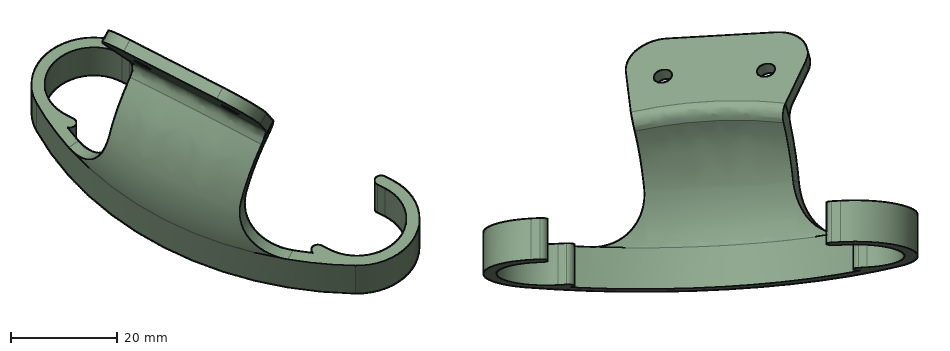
import cadquery as cq
import math

overall_width = 83.6
overall_depth = 32.45
band_height = 8.0
wall = 2.5
hook_outer_radius = 11.8
hook_mid_radius = hook_outer_radius - wall / 2
hook_x = overall_width / 2 - hook_outer_radius
hook_y = overall_depth - hook_outer_radius
hook_lip = 1.7

band_radius = (hook_x**2 + hook_y**2 - hook_outer_radius**2) / (2 * (hook_y - hook_outer_radius))
band_half_angle = math.asin(hook_x / (band_radius - hook_outer_radius))

bend_radius = 30.0
bend_sweep = 90.0
web_width = 30.0
web_flare_radius = 10.0
inner_fold_radius = 3.0
outer_fold_radius = 2.75

overall_height = 48.28
plate_tilt = 32.5
plate_top_y = 4.2
plate_top_half_width = 19.3
plate_taper_length = 19.6
plate_length = 30.0
plate_corner_radius = 7.0
hole_diameter = 3.5
hole_spacing = 20.0
hole_from_top = 10.2

envelope_margin = 3.0
sheet_half_width = 28.0
selection_gap = 0.1
clearance = 100.0


def band_outline():
    """Closed plan outline of the curved band, from one hook tangency to the other."""
    inner_radius = band_radius - wall

    def point(radius, angle):
        return (radius * math.sin(angle), band_radius - radius * math.cos(angle))

    return (
        cq.Workplane("XY")
        .moveTo(*point(band_radius, -band_half_angle))
        .threePointArc((0, 0), point(band_radius, band_half_angle))
        .lineTo(*point(inner_radius, band_half_angle))
        .threePointArc((0, wall), point(inner_radius, -band_half_angle))
        .close()
    )


def make_hook(side):
    """C-shaped hook with round tips; side is -1 for left, +1 for right."""
    tip_x = side * (hook_x - hook_lip)
    root_x = side * hook_x
    outer = hook_outer_radius
    inner = hook_outer_radius - wall
    return (
        cq.Workplane("XY")
        .moveTo(tip_x, hook_y + outer)
        .lineTo(root_x, hook_y + outer)
        .threePointArc((root_x + side * outer, hook_y), (root_x, hook_y - outer))
        .lineTo(tip_x, hook_y - outer)
        .threePointArc((tip_x - side * wall / 2, hook_y - hook_mid_radius), (tip_x, hook_y - inner))
        .lineTo(root_x, hook_y - inner)
        .threePointArc((root_x + side * inner, hook_y), (root_x, hook_y + inner))
        .lineTo(tip_x, hook_y + inner)
        .threePointArc((tip_x - side * wall / 2, hook_y + hook_mid_radius), (tip_x, hook_y + outer))
        .close()
        .extrude(band_height)
    )


def bend_back(outline):
    """Revolve an outline lying at the top of the band up and back about the bend axis."""
    return outline.revolve(bend_sweep, (1, bend_radius, 0), (0, bend_radius, 0))


def make_web_envelope():
    """Thick block with the web's side faces, flared into a slab level with the top of the band.

    The side faces are square to the curved band, so they close in toward the rear.
    """
    half = web_width / 2
    side_y = band_radius - math.sqrt(band_radius**2 - half**2)
    side_slope = half / (band_radius - side_y)
    front_y = -envelope_margin
    rear_y = bend_radius / 2
    front_half = half + side_slope * (side_y - front_y)
    rear_half = half + side_slope * (side_y - rear_y)
    column_outline = (
        cq.Workplane("XY", origin=(0, 0, band_height))
        .moveTo(-front_half, front_y)
        .lineTo(front_half, front_y)
        .lineTo(rear_half, rear_y)
        .lineTo(-rear_half, rear_y)
        .close()
    )
    slab = (
        cq.Workplane("XY")
        .box(overall_width, 2 * overall_depth, band_height, centered=(True, True, False))
    )
    foot_edges = cq.selectors.BoxSelector(
        (-web_width, front_y + selection_gap, band_height - selection_gap),
        (web_width, rear_y - selection_gap, band_height + selection_gap),
    )
    column = bend_back(column_outline)
    return slab.union(column).edges(foot_edges).edges("not #X").fillet(web_flare_radius)


def pose_plate(solid):
    """Move a solid drawn flat (rear face on XY, top edge along X) into the leaning plate position."""
    return solid.rotate((0, 0, 0), (1, 0, 0), 90 + plate_tilt).translate((0, plate_top_y, overall_height))


def make_plate_envelope():
    """Block with the plate's outline: tapered sides down to the fold, two rounded top corners."""
    half = web_width / 2
    flat_block = (
        cq.Workplane("XY")
        .moveTo(-plate_top_half_width, 0)
        .lineTo(plate_top_half_width, 0)
        .lineTo(half, -plate_taper_length)
        .lineTo(-half, -plate_taper_length)
        .close()
        .extrude(web_width)
        .edges("|Z")
        .edges(">Y")
        .fillet(plate_corner_radius)
    )
    return pose_plate(flat_block)


def bend_body(depth):
    """Solid bounded by the bend surface lying the given depth behind the front face."""
    radius = band_radius - depth
    edge_y = band_radius - math.sqrt(radius**2 - sheet_half_width**2)
    outline = (
        cq.Workplane("XY", origin=(0, 0, band_height))
        .moveTo(-sheet_half_width, edge_y)
        .threePointArc((0, depth), (sheet_half_width, edge_y))
        .lineTo(sheet_half_width, bend_radius)
        .lineTo(-sheet_half_width, bend_radius)
        .close()
    )
    return bend_back(outline)


def make_folded_sheet():
    """Bent shell and flat plate, both over-wide, joined by a fold that is rounded front and rear."""
    behind_plate = pose_plate(cq.Workplane("XY").rect(clearance, clearance).extrude(-clearance))
    flat_plate = pose_plate(
        cq.Workplane("XY").rect(2 * sheet_half_width, 2 * plate_length).extrude(wall)
    )
    sheet = bend_body(0).union(flat_plate).cut(bend_body(wall)).cut(behind_plate)
    rear_crease = sheet.edges("%BSPLINE").edges(">Y").val()
    sheet = sheet.newObject([rear_crease]).fillet(outer_fold_radius)
    front_crease = sheet.edges("%BSPLINE").edges("<Y")
    return front_crease.fillet(inner_fold_radius)


def make_bracket():
    """Web and screw plate: the folded sheet trimmed to its side outlines and drilled."""
    above_fold = pose_plate(
        cq.Workplane("XY")
        .center(0, clearance / 2 - plate_taper_length)
        .rect(clearance, clearance)
        .extrude(2 * clearance, both=True)
    )
    sheet = make_folded_sheet()
    web = sheet.intersect(make_web_envelope()).cut(above_fold)
    plate = sheet.intersect(make_plate_envelope())
    screw_holes = (
        cq.Workplane("XY")
        .pushPoints([(-hole_spacing / 2, -hole_from_top), (hole_spacing / 2, -hole_from_top)])
        .circle(hole_diameter / 2)
        .extrude(wall)
    )
    return web.union(plate).cut(pose_plate(screw_holes))


band = band_outline().extrude(band_height)
result = band.union(make_hook(-1)).union(make_hook(1)).union(make_bracket())